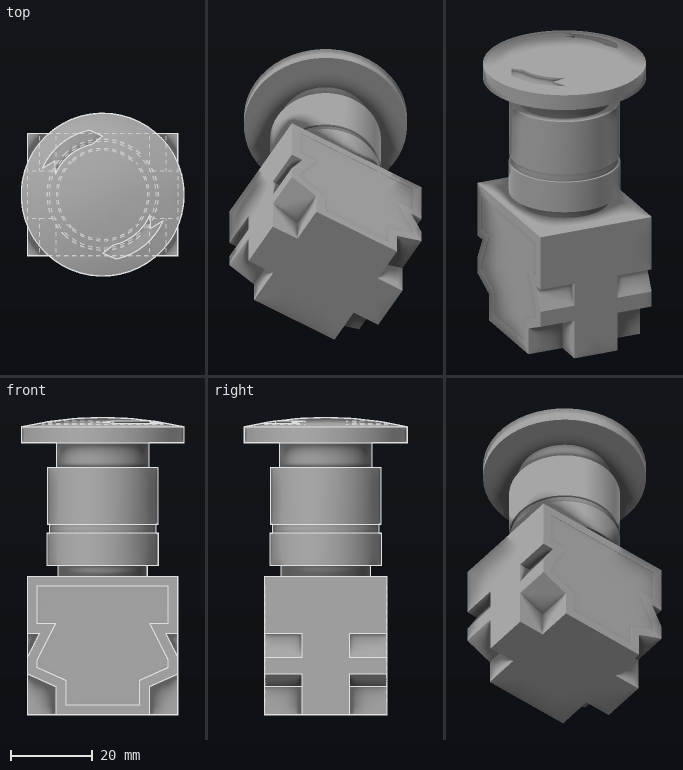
import cadquery as cq
import math

block_width = 36.95
block_depth = 30.1
block_height = 34.0
end_plate_thickness = 9.2

notch_top = 20.0
notch_half_width = 15.5
notch_bottom = 14.1
shoulder_top = 10.1
shoulder_bottom = 6.9
foot_half_width = 11.45

panel_border = 2.4
panel_depth = 0.1

body_steps = [
    (22.0, 36.65),
    (27.4, 44.6),
    (26.2, 46.7),
    (27.2, 60.7),
    (22.8, 66.7),
]

cap_diameter = 40.0
cap_rim_top = 70.7
total_height = 73.0

arrow_inner_radius = 12.6
arrow_outer_radius = 16.1
arrow_tip_angle = 90.3
arrow_tail_angle = 145.0
arrow_point_sweep = 11.5
arrow_floor = 71.2
arrow_count = 2


def end_plate_outline():
    half_width = block_width / 2
    right_side = [
        (half_width, block_height),
        (half_width, notch_top),
        (notch_half_width, notch_top),
        (half_width, notch_bottom),
        (half_width, shoulder_top),
        (foot_half_width, shoulder_bottom),
        (foot_half_width, 0),
    ]
    left_side = [(-x, z) for x, z in reversed(right_side)]
    return cq.Workplane("XZ").polyline(right_side + left_side).close()


def front_end_plate():
    front_y = -block_depth / 2
    plate = end_plate_outline().extrude(end_plate_thickness).translate((0, front_y + end_plate_thickness, 0))
    panel = end_plate_outline().offset2D(-panel_border, "intersection").extrude(panel_depth)
    return plate.cut(panel.translate((0, front_y + panel_depth, 0)))


def contact_block():
    core_depth = block_depth - 2 * end_plate_thickness
    core = cq.Workplane("XY").box(block_width, core_depth, block_height, centered=(True, True, False))
    front = front_end_plate()
    return core.union(front).union(front.mirror("XZ"))


def button_body():
    body = cq.Workplane("XY")
    bottom = block_height
    for diameter, top in body_steps:
        step = cq.Workplane("XY").workplane(offset=bottom).circle(diameter / 2).extrude(top - bottom)
        body = body.add(step)
        bottom = top
    return body.combine()


def mushroom_cap():
    cap_radius = cap_diameter / 2
    cap_bottom = body_steps[-1][1]
    dome_rise = total_height - cap_rim_top
    dome_radius = (cap_radius**2 + dome_rise**2) / (2 * dome_rise)
    mid_radius = cap_radius / 2
    mid_height = total_height - dome_radius + math.sqrt(dome_radius**2 - mid_radius**2)
    half_section = (
        cq.Workplane("XZ")
        .moveTo(0, cap_bottom)
        .lineTo(cap_radius, cap_bottom)
        .lineTo(cap_radius, cap_rim_top)
        .threePointArc((mid_radius, mid_height), (0, total_height))
        .close()
    )
    return half_section.revolve(360, (0, 0, 0), (0, 1, 0))


def polar_point(radius, angle):
    return (radius * math.cos(math.radians(angle)), radius * math.sin(math.radians(angle)))


def arrow_pocket():
    mid_radius = (arrow_inner_radius + arrow_outer_radius) / 2
    band_start = arrow_tip_angle + arrow_point_sweep
    band_end = arrow_tail_angle + arrow_point_sweep
    band_middle = (band_start + band_end) / 2
    outline = (
        cq.Workplane("XY")
        .workplane(offset=arrow_floor)
        .moveTo(*polar_point(mid_radius, arrow_tip_angle))
        .lineTo(*polar_point(arrow_outer_radius, band_start))
        .threePointArc(polar_point(arrow_outer_radius, band_middle), polar_point(arrow_outer_radius, band_end))
        .lineTo(*polar_point(mid_radius, arrow_tail_angle))
        .lineTo(*polar_point(arrow_inner_radius, band_end))
        .threePointArc(polar_point(arrow_inner_radius, band_middle), polar_point(arrow_inner_radius, band_start))
        .close()
    )
    return outline.extrude(total_height - arrow_floor)


result = contact_block().union(button_body()).union(mushroom_cap())
for index in range(arrow_count):
    turn = index * 360 / arrow_count
    result = result.cut(arrow_pocket().rotate((0, 0, 0), (0, 0, 1), turn))